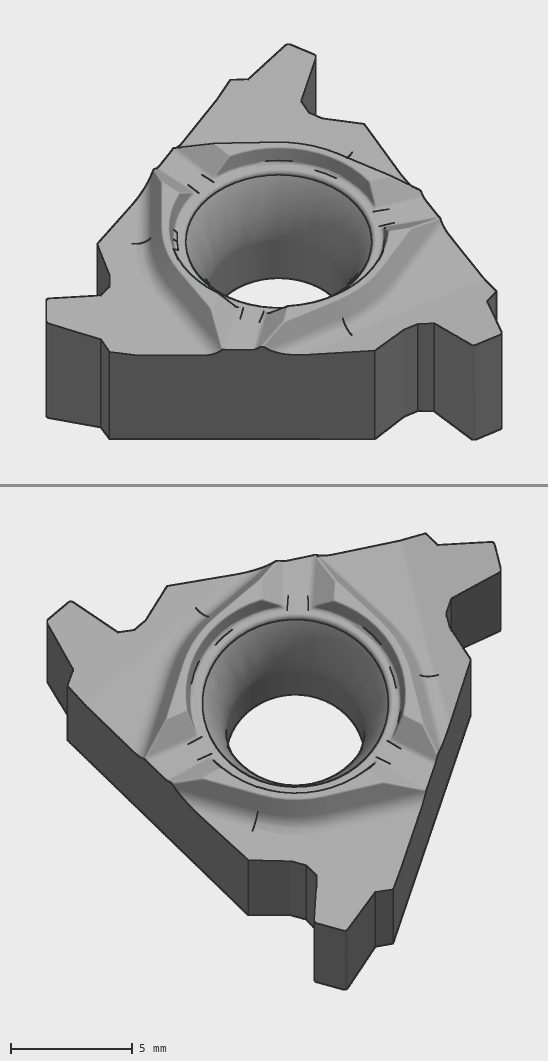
import cadquery as cq
import math


TOOTH_COUNT = 3
PITCH_ANGLE = 360 / TOOTH_COUNT
TOTAL_HEIGHT = 6.05
FLOOR_Z = 5.0
SEAT_Z = 5.32
BLANK_RADIUS = 14.1

INSCRIBED_RADIUS = 6.35
TIP_Y = 9.59
ROOT_Y = 7.33
GULLET_Y = 6.97
TOOTH_X = -4.44
TIP_HALF_WIDTH = 0.7
ROOT_HALF_WIDTH = 1.26
GULLET_START_X = -2.6
GULLET_END_X = -1.95
SIDE_START_X = -0.26
TIP_ROUND = 0.17

RAMP_ANGLE = 10.0
RAMP_START = 5.9
RAMP_BLEND = 0.85

WALL_TOP_RADIUS = 4.83
WALL_ANGLE = 57.0
FOOT_FILLET = 0.75
EDGE_ROUND = 0.1
SLOT_END_ANGLE = 35.0
EDGE_TOLERANCE = 0.02
RAMP_SIDE_ANGLE = 90.0
FLOOR_SIDE_ANGLE = 121.5

SLOT_START = 3.38
SLOT_LENGTH = 5.64
SLOT_HALF_WIDTH = 0.47
SLOT_SPLAY = 2.5
SLOT_WALL_ANGLE = 37.0
SLOT_FILLET = 0.38
SLOT_CLEARANCE = 0.19

BORE_RADIUS = 5.7 / 2
FLARE_BOTTOM_Z = 2.3
LIP_RADIUS = 3.84
LIP_Z = 5.13
LEDGE_OUTER_RADIUS = 4.32
LEDGE_FILLET = 0.17
RIM_RADIUS = 4.53

slot_angle = (FLOOR_SIDE_ANGLE + RAMP_SIDE_ANGLE + PITCH_ANGLE) / 2


def turned(shape, angle):
    return shape.rotate((0, 0, 0), (0, 0, 1), angle)


def turned_point(point, angle):
    c = math.cos(math.radians(angle))
    s = math.sin(math.radians(angle))
    return (c * point[0] - s * point[1], s * point[0] + c * point[1])


def at_every_tooth(shape):
    copies = turned(shape, 0)
    for i in range(1, TOOTH_COUNT):
        copies = copies.union(turned(shape, i * PITCH_ANGLE))
    return copies


def make_outline():
    """Full-height prism of the insert outline."""
    side_normal = math.radians(180 - PITCH_ANGLE)
    side_start_y = (INSCRIBED_RADIUS - SIDE_START_X * math.cos(side_normal)) / math.sin(side_normal)
    tooth = [
        (-INSCRIBED_RADIUS, GULLET_Y),
        (TOOTH_X - ROOT_HALF_WIDTH, ROOT_Y),
        (TOOTH_X - TIP_HALF_WIDTH, TIP_Y),
        (TOOTH_X + TIP_HALF_WIDTH, TIP_Y),
        (TOOTH_X + ROOT_HALF_WIDTH, ROOT_Y),
        (GULLET_START_X, GULLET_Y),
        (GULLET_END_X, GULLET_Y),
        (SIDE_START_X, side_start_y),
    ]
    points = [turned_point(p, -i * PITCH_ANGLE) for i in range(TOOTH_COUNT) for p in tooth]
    prism = cq.Workplane("XY").polyline(points).close().extrude(TOTAL_HEIGHT)
    tip_edge_radius = math.hypot(TOOTH_X + TIP_HALF_WIDTH, TIP_Y) - TIP_ROUND
    tips = prism.edges("|Z").filter(lambda e: math.hypot(e.Center().x, e.Center().y) > tip_edge_radius)
    return tips.fillet(TIP_ROUND)


def make_ramp():
    """Wedge under one tooth, blended into the floor, running along X."""
    angle = math.radians(RAMP_ANGLE)
    blend_length = RAMP_BLEND * math.tan(angle / 2)
    blend_start = RAMP_START - blend_length
    blend_middle = (
        blend_start + RAMP_BLEND * math.sin(angle / 2),
        FLOOR_Z + RAMP_BLEND * (1 - math.cos(angle / 2)),
    )
    blend_end = (
        RAMP_START + blend_length * math.cos(angle),
        FLOOR_Z + blend_length * math.sin(angle),
    )
    end_z = FLOOR_Z + (BLANK_RADIUS - RAMP_START) * math.tan(angle)
    return (
        cq.Workplane("YZ")
        .moveTo(blend_start, 0)
        .lineTo(blend_start, FLOOR_Z)
        .threePointArc(blend_middle, blend_end)
        .lineTo(BLANK_RADIUS, end_z)
        .lineTo(BLANK_RADIUS, 0)
        .close()
        .extrude(BLANK_RADIUS, both=True)
    )


def wall_section(ground_angle):
    """Section of the chipbreaker whose concave foot is tangent to the wall and the ground.

    The ground rises outwards from RAMP_START at ground_angle; zero gives the flat floor.
    """
    wall = math.radians(WALL_ANGLE)
    ground = math.radians(ground_angle)
    wall_drop = TOTAL_HEIGHT - FLOOR_Z + (RAMP_START - WALL_TOP_RADIUS) * math.tan(ground)
    corner_x = WALL_TOP_RADIUS + wall_drop / (math.tan(wall) + math.tan(ground))
    corner_z = TOTAL_HEIGHT - (corner_x - WALL_TOP_RADIUS) * math.tan(wall)
    tangent_length = FOOT_FILLET * math.tan((wall + ground) / 2)
    foot = (
        corner_x + tangent_length * math.cos(ground),
        corner_z + tangent_length * math.sin(ground),
    )
    wall_end = (
        corner_x - tangent_length * math.cos(wall),
        corner_z + tangent_length * math.sin(wall),
    )
    centre = (
        foot[0] - FOOT_FILLET * math.sin(ground),
        foot[1] + FOOT_FILLET * math.cos(ground),
    )
    middle_angle = (wall - ground) / 2
    foot_middle = (
        centre[0] - FOOT_FILLET * math.sin(middle_angle),
        centre[1] - FOOT_FILLET * math.cos(middle_angle),
    )
    return (
        cq.Workplane("XZ")
        .lineTo(foot[0], 0)
        .lineTo(*foot)
        .threePointArc(foot_middle, wall_end)
        .lineTo(WALL_TOP_RADIUS, TOTAL_HEIGHT)
        .lineTo(0, TOTAL_HEIGHT)
        .close()
    )


def make_chipbreaker_sector():
    """One third of the chipbreaker: two straight walls joined by a conical corner."""
    corner_sweep = FLOOR_SIDE_ANGLE - RAMP_SIDE_ANGLE
    corner = wall_section(0).revolve(corner_sweep, (0, 0, 0), (0, 1, 0))
    ramp_side = wall_section(RAMP_ANGLE).extrude(BLANK_RADIUS)
    floor_side = wall_section(0).extrude(-BLANK_RADIUS)
    walls = (
        turned(corner, RAMP_SIDE_ANGLE)
        .union(turned(ramp_side, RAMP_SIDE_ANGLE))
        .union(turned(floor_side, FLOOR_SIDE_ANGLE))
    )
    reach = 2 * BLANK_RADIUS
    wedge_points = [(0, 0)]
    for angle in (slot_angle - PITCH_ANGLE, slot_angle - PITCH_ANGLE / 2, slot_angle):
        wedge_points.append(turned_point((reach, 0), angle))
    wedge = cq.Workplane("XY").polyline(wedge_points).close().extrude(TOTAL_HEIGHT)
    return walls.intersect(wedge)


def make_slot():
    """Cutter for one radial slot: two mirrored halves, splayed so the slot widens outwards."""
    height = TOTAL_HEIGHT - SEAT_Z + SLOT_CLEARANCE
    spread = height / math.tan(math.radians(SLOT_WALL_ANGLE))
    half = (
        cq.Workplane("YZ", origin=(0, 0, SEAT_Z))
        .moveTo(-SLOT_HALF_WIDTH, 0)
        .lineTo(SLOT_HALF_WIDTH, 0)
        .lineTo(SLOT_HALF_WIDTH + spread, height)
        .lineTo(-SLOT_HALF_WIDTH, height)
        .close()
        .extrude(SLOT_LENGTH)
    )
    half = half.faces("<Z").edges(">Y").fillet(SLOT_FILLET)
    half = turned(half, SLOT_SPLAY).translate((SLOT_START, 0, 0))
    return turned(half.union(half.mirror("XZ")), slot_angle)


def make_bore():
    """Cutter for the through hole with its flared screw seat and rounded lip."""
    flare_rise = LIP_Z - FLARE_BOTTOM_Z
    flare_spread = LIP_RADIUS - BORE_RADIUS
    flare_angle = 2 * math.atan(flare_spread / flare_rise)
    flare_radius = flare_rise / math.sin(flare_angle)
    flare_middle = (
        BORE_RADIUS + flare_radius * (1 - math.cos(flare_angle / 2)),
        FLARE_BOTTOM_Z + flare_radius * math.sin(flare_angle / 2),
    )
    lip_round = SEAT_Z - LIP_Z
    lip_middle = (
        LIP_RADIUS + lip_round * (1 - math.sqrt(0.5)),
        LIP_Z + lip_round * math.sqrt(0.5),
    )
    return (
        cq.Workplane("XZ")
        .lineTo(BORE_RADIUS, 0)
        .lineTo(BORE_RADIUS, FLARE_BOTTOM_Z)
        .threePointArc(flare_middle, (LIP_RADIUS, LIP_Z))
        .threePointArc(lip_middle, (LIP_RADIUS + lip_round, SEAT_Z))
        .lineTo(0, SEAT_Z)
        .close()
        .revolve(360, (0, 0, 0), (0, 1, 0))
    )


def make_recess():
    """Cutter for the conical recess between the ledge and the top face."""
    recess = (
        cq.Workplane("XZ")
        .moveTo(0, SEAT_Z)
        .lineTo(LEDGE_OUTER_RADIUS, SEAT_Z)
        .lineTo(RIM_RADIUS, TOTAL_HEIGHT)
        .lineTo(0, TOTAL_HEIGHT)
        .close()
        .revolve(360, (0, 0, 0), (0, 1, 0))
    )
    return recess.faces("<Z").edges().fillet(LEDGE_FILLET)


def make_island():
    """One third of the chipbreaker, cut back by its two slots and the recess, with rounded edges."""
    slot = make_slot()
    island = make_chipbreaker_sector().cut(slot).cut(turned(slot, -PITCH_ANGLE)).cut(make_recess())
    middle_angle = slot_angle - PITCH_ANGLE / 2

    def is_slot_wall_end(edge):
        """True for an edge that runs down from the top face at the end of a slot wall."""
        centre = edge.Center()
        direction = math.degrees(math.atan2(centre.y, centre.x))
        reaches_top = edge.BoundingBox().zmax > TOTAL_HEIGHT - EDGE_TOLERANCE
        slopes = centre.z < TOTAL_HEIGHT - EDGE_TOLERANCE
        return reaches_top and slopes and abs(direction - middle_angle) > SLOT_END_ANGLE

    rounded = island.faces(">Z").edges().add(island.edges().filter(is_slot_wall_end))
    return rounded.fillet(EDGE_ROUND)


floor = cq.Workplane("XY").circle(BLANK_RADIUS).extrude(FLOOR_Z)
relief = floor.union(at_every_tooth(make_island())).union(at_every_tooth(make_ramp()))
result = make_outline().intersect(relief).cut(make_bore())